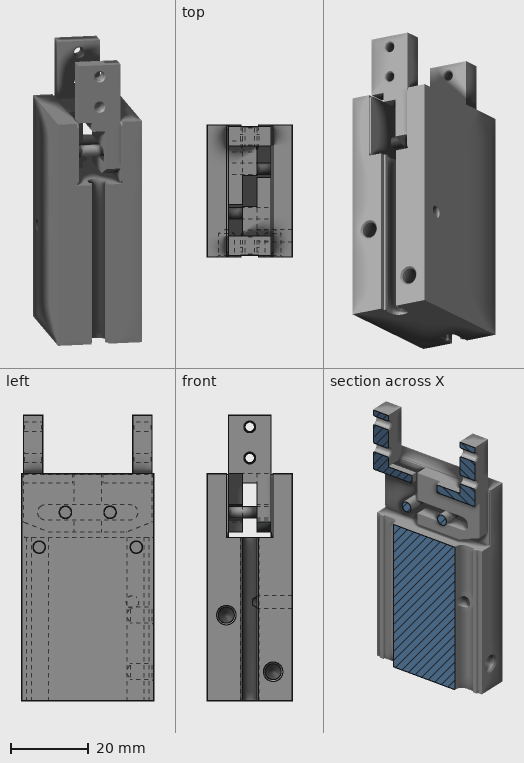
import cadquery as cq
import math

housing_width = 22.0
housing_depth = 34.0
housing_height = 58.4
channel_width = 11.9
channel_floor = 42.05
liner_corner_radius = 1.1
liner_inset = 0.15

mouth_width = 4.5
mouth_depth = 1.3
lip_width = 3.6
lip_end_depth = 2.5
track_width = 4.6
track_bottom_depth = 7.0
track_corner_diameter = 4.1

side_hole_diameter = 3.2
side_hole_start_x = 0.7
side_hole_z = 25.4
side_hole_undercut = 0.15

port_diameter = 4.1
port_mouth_diameter = 5.0
port_depth = 6.0
drill_tip_angle = 118
port_places = [(-6.0, 22.05), (6.0, 7.5)]

pin_diameter = 3.0
pin_recess_diameter = 3.2
pin_recess_depth = 0.11
guide_pin_y = 5.7
guide_pin_z = 48.5
anchor_pin_y = 12.5
anchor_pin_z = 39.55

jaw_width = 11.0
finger_outer_y = 16.55
finger_thickness = 5.0
finger_top = 73.5
bridge_width = 3.6
bridge_bottom = 56.0
bridge_tip_gap = 4.0
lobe_bottom = 43.45
lobe_reach = 3.5
lobe_bevel_start_y = 10.0
lobe_bevel_rise = 2.6
lobe_slot_height = 3.9
lobe_slot_end_y = 10.95

finger_hole_diameter = 2.4
finger_hole_mouth_diameter = 3.0
finger_hole_top_inset = 3.0
finger_hole_spacing = 8.0
finger_hole_count = 2


def box_between(x_range, y_range, z_range):
    """Box from its lower and upper limit along each axis."""
    (x0, x1), (y0, y1), (z0, z1) = x_range, y_range, z_range
    return cq.Workplane("XY").box(x1 - x0, y1 - y0, z1 - z0, centered=False).translate((x0, y0, z0))


def cylinder(diameter, length, start, direction):
    """Cylinder that begins at the start point and runs along the direction."""
    solid = cq.Solid.makeCylinder(diameter / 2, length, cq.Vector(*start), cq.Vector(*direction))
    return cq.Workplane(obj=solid)


def cone(start_diameter, end_diameter, length, start, direction):
    """Cone or frustum that begins at the start point and runs along the direction."""
    solid = cq.Solid.makeCone(
        start_diameter / 2, end_diameter / 2, length, cq.Vector(*start), cq.Vector(*direction)
    )
    return cq.Workplane(obj=solid)


half_width = housing_width / 2
half_depth = housing_depth / 2
half_channel = channel_width / 2
half_jaw = jaw_width / 2
half_bridge = bridge_width / 2


def channel_liner(side):
    """Thin round-cornered pad on the channel wall at the given X side (-1 or +1)."""
    reach_y = half_depth - liner_inset
    pad = box_between(
        (half_jaw, half_channel), (-reach_y, reach_y), (channel_floor, housing_height - liner_inset)
    )
    pad = pad.edges("|X").fillet(liner_corner_radius)
    if side < 0:
        pad = pad.mirror("YZ")
    return pad


def groove_step(width, start_depth, end_depth):
    """Straight part of the front groove, between two depths below the -Y face."""
    return box_between(
        (-width / 2, width / 2),
        (-half_depth + start_depth, -half_depth + end_depth),
        (0, channel_floor),
    )


def sensor_groove():
    """Cutter for the front groove: mouth, narrower lip and a wider track with a rounded bottom."""
    mouth = groove_step(mouth_width, 0, mouth_depth)
    lip = groove_step(lip_width, mouth_depth, lip_end_depth)
    track = groove_step(track_width, lip_end_depth, track_bottom_depth)
    track = track.edges("|Z and >Y").fillet(track_corner_diameter / 2)
    return mouth.union(lip).union(track)


def port(x, z):
    """Cutter for a drilled port with a chamfered mouth and a conical bottom."""
    chamfer = (port_mouth_diameter - port_diameter) / 2
    tip = port_diameter / 2 / math.tan(math.radians(drill_tip_angle / 2))
    hole = cylinder(port_diameter, port_depth, (x, -half_depth, z), (0, 1, 0))
    mouth = cone(port_mouth_diameter, port_diameter, chamfer, (x, -half_depth, z), (0, 1, 0))
    bottom = cone(port_diameter, 0, tip, (x, -half_depth + port_depth, z), (0, 1, 0))
    return hole.union(mouth).union(bottom)


def make_housing():
    housing = box_between((-half_width, half_width), (-half_depth, half_depth), (0, housing_height))
    housing = housing.cut(
        box_between((-half_channel, half_channel), (-half_depth, half_depth), (channel_floor, housing_height))
    )
    for side in (-1, 1):
        housing = housing.union(channel_liner(side))

    front_groove = sensor_groove()
    housing = housing.cut(front_groove)
    housing = housing.cut(front_groove.mirror("XZ"))

    side_hole_y = -half_depth + track_bottom_depth + side_hole_undercut - side_hole_diameter / 2
    side_hole_start = (side_hole_start_x, side_hole_y, side_hole_z)
    housing = housing.cut(cylinder(side_hole_diameter, half_width, side_hole_start, (1, 0, 0)))

    for x, z in port_places:
        housing = housing.cut(port(x, z))

    for side in (-1, 1):
        guide_start = (-half_channel, side * guide_pin_y, guide_pin_z)
        housing = housing.union(cylinder(pin_diameter, channel_width, guide_start, (1, 0, 0)))
        for y, z in ((side * guide_pin_y, guide_pin_z), (side * anchor_pin_y, anchor_pin_z)):
            recess = cone(
                pin_recess_diameter, pin_diameter, pin_recess_depth, (-half_width, y, z), (1, 0, 0)
            )
            housing = housing.cut(recess)
    return housing


def finger_hole(z):
    """Cutter for a hole through a finger along Y, chamfered at both ends."""
    chamfer = (finger_hole_mouth_diameter - finger_hole_diameter) / 2
    outer = (0, -finger_outer_y, z)
    inner = (0, -finger_outer_y + finger_thickness, z)
    hole = cylinder(finger_hole_diameter, finger_thickness, outer, (0, 1, 0))
    outer_mouth = cone(finger_hole_mouth_diameter, finger_hole_diameter, chamfer, outer, (0, 1, 0))
    inner_mouth = cone(finger_hole_mouth_diameter, finger_hole_diameter, chamfer, inner, (0, -1, 0))
    return hole.union(outer_mouth).union(inner_mouth)


def slotted_lobe():
    """Plate that hangs beside the bridge, bevelled below and slotted around the guide pin."""
    lobe = (
        cq.Workplane("YZ", origin=(half_bridge, 0, 0))
        .moveTo(-finger_outer_y, housing_height)
        .lineTo(-finger_outer_y, lobe_bottom + lobe_bevel_rise)
        .lineTo(-lobe_bevel_start_y, lobe_bottom)
        .lineTo(lobe_reach, lobe_bottom)
        .lineTo(lobe_reach, housing_height)
        .close()
        .extrude(half_jaw - half_bridge)
    )
    slot = box_between(
        (half_bridge, half_jaw),
        (-lobe_slot_end_y, lobe_reach),
        (guide_pin_z - lobe_slot_height / 2, guide_pin_z + lobe_slot_height / 2),
    )
    round_end = cylinder(
        lobe_slot_height, half_jaw - half_bridge, (half_bridge, -lobe_slot_end_y, guide_pin_z), (1, 0, 0)
    )
    return lobe.cut(slot.union(round_end))


def make_jaw(turn):
    """Jaw at the -Y end, turned about the Z axis by the given angle."""
    jaw = box_between(
        (-half_jaw, half_jaw),
        (-finger_outer_y, -finger_outer_y + finger_thickness),
        (housing_height, finger_top),
    )
    bridge = box_between(
        (-half_bridge, half_bridge), (-finger_outer_y, -bridge_tip_gap), (bridge_bottom, housing_height)
    )
    jaw = jaw.union(bridge).union(slotted_lobe())
    for index in range(finger_hole_count):
        jaw = jaw.cut(finger_hole(finger_top - finger_hole_top_inset - index * finger_hole_spacing))
    return jaw.rotate((0, 0, 0), (0, 0, 1), turn)


housing = make_housing()

jaws = []
for jaw_turn in (0, 180):
    jaws.append(make_jaw(jaw_turn))

result = cq.Compound.makeCompound([housing.val(), *[jaw.val() for jaw in jaws]])